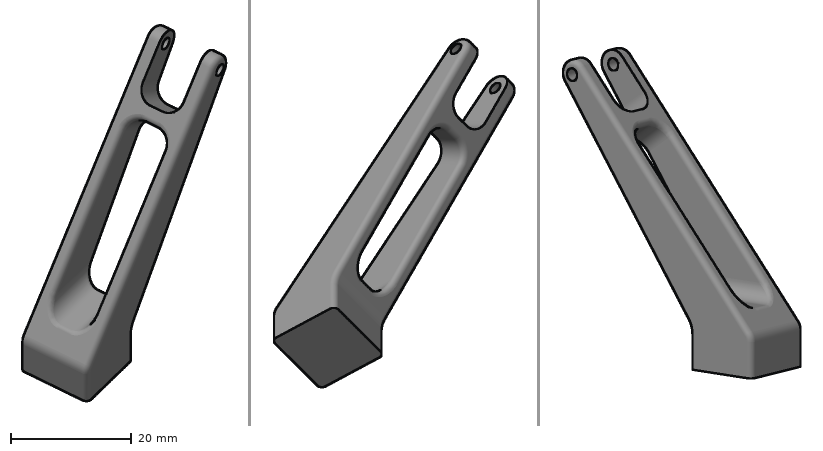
import cadquery as cq
import math

width = 13.8
total_depth = 40.5
total_height = 49.35

tip_radius = 2.45
pin_diameter = 2.1
base_depth = 13.1
front_corner_height = 7.05
back_corner_height = 7.25
front_bend_radius = 2.45
back_bend_radius = 3.95
edge_radius = 1.0

opening_width = 8.3
opening_corner_radius = 2.95
fork_floor_front = 29.45
rib_thickness = 2.95
window_floor_height = 10.7
overrun = 9.85

tip_y = total_depth - tip_radius
tip_z = total_height - tip_radius


def face_angle(corner_y, corner_z, side):
    """Angle above +Y of the line from a corner tangent to the tip; side is 1 above it, -1 below."""
    run = tip_y - corner_y
    rise = tip_z - corner_z
    return math.atan2(rise, run) + side * math.asin(tip_radius / math.hypot(run, rise))


front_angle = face_angle(0, front_corner_height, 1)
back_angle = face_angle(base_depth, back_corner_height, -1)


def tip_point(angle):
    """Point of the tip circle in the given direction from the pin axis."""
    return (tip_y + tip_radius * math.cos(angle), tip_z + tip_radius * math.sin(angle))


def extrude_profile(sketch, thickness):
    return sketch.close().extrude(thickness / 2, both=True)


def make_body():
    front_tangent = front_angle + math.pi / 2
    back_tangent = back_angle - math.pi / 2
    outline = (
        cq.Workplane("YZ")
        .lineTo(0, front_corner_height)
        .lineTo(*tip_point(front_tangent))
        .threePointArc(tip_point((front_tangent + back_tangent) / 2), tip_point(back_tangent))
        .lineTo(base_depth, back_corner_height)
        .lineTo(base_depth, 0)
    )
    body = extrude_profile(outline, width)
    front_bend = cq.selectors.NearestToPointSelector((0, 0, front_corner_height))
    back_bend = cq.selectors.NearestToPointSelector((0, base_depth, back_corner_height))
    body = body.edges("|X").edges(front_bend).fillet(front_bend_radius)
    body = body.edges("|X").edges(back_bend).fillet(back_bend_radius)

    rim = body.faces("<X or >X").edges().edges(cq.selectors.BoxSelector(
        (-width, -total_depth, edge_radius), (width, 2 * total_depth, 2 * total_height)))
    return rim.fillet(edge_radius)


into_back = (math.sin(back_angle), -math.cos(back_angle))
along_back = (math.cos(back_angle), math.sin(back_angle))
fork_origin = (fork_floor_front, front_corner_height + fork_floor_front * math.tan(front_angle))
ceiling_origin = (
    fork_origin[0] - rib_thickness * along_back[0],
    fork_origin[1] - rib_thickness * along_back[1],
)


def offset(point, depth, lift=0.0):
    """Move a YZ point toward the back face by depth and up along the arm by lift."""
    return (
        point[0] + depth * into_back[0] + lift * along_back[0],
        point[1] + depth * into_back[1] + lift * along_back[1],
    )


def make_fork_cutter():
    fork_length = 2 * overrun
    profile = cq.Workplane("YZ").polyline([
        offset(fork_origin, -overrun),
        offset(fork_origin, overrun),
        offset(fork_origin, overrun, fork_length),
        offset(fork_origin, -overrun, fork_length),
    ])
    floor_direction = cq.Vector(0, -along_back[0], -along_back[1])
    cutter = extrude_profile(profile, opening_width)
    floor_sides = cutter.faces(cq.selectors.DirectionMinMaxSelector(floor_direction)).edges("not |X")
    return floor_sides.fillet(opening_corner_radius)


def make_window_cutter():
    profile = cq.Workplane("YZ").polyline([
        (-overrun, window_floor_height),
        (base_depth + overrun, window_floor_height),
        offset(ceiling_origin, overrun),
        offset(ceiling_origin, -overrun),
    ])
    ceiling_direction = cq.Vector(0, into_back[0], into_back[1])
    cutter = extrude_profile(profile, opening_width)
    cutter = cutter.edges("|Y").fillet(opening_corner_radius)
    ceiling_sides = cutter.edges(cq.selectors.ParallelDirSelector(ceiling_direction))
    return ceiling_sides.fillet(opening_corner_radius)


def round_window_rims(body):
    """Round the window edge on the front and back faces of the arm."""
    front_normal = cq.Vector(0, -math.sin(front_angle), math.cos(front_angle))
    back_normal = cq.Vector(0, math.sin(back_angle), -math.cos(back_angle))
    for normal in (front_normal, back_normal):
        face = body.faces(cq.selectors.DirectionSelector(normal))
        rim = face.val().innerWires()[0]
        body = body.newObject(rim.Edges()).fillet(edge_radius)
    return body


def make_pin_hole():
    return cq.Workplane("YZ").center(tip_y, tip_z).circle(pin_diameter / 2).extrude(width, both=True)


result = round_window_rims(make_body().cut(make_window_cutter()))
result = result.cut(make_fork_cutter()).cut(make_pin_hole())